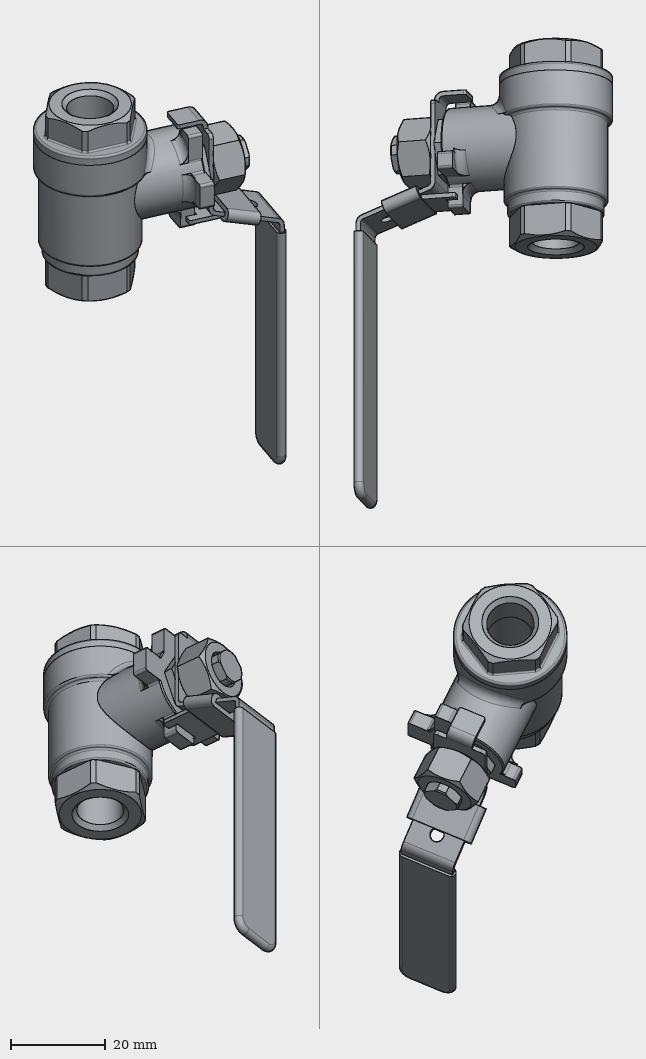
import cadquery as cq
import math


top_z = 20.6
cap_top_z = 14.7
joint_z = 12.7
cap_bottom_z = 4.7
barrel_bottom_z = -13.1
collar_bottom_z = -15.9
bottom_z = -22.9
cap_d = 24.0
barrel_d = 22.0
collar_d = 20.4
cap_edge_r = 0.5
barrel_edge_r = 0.4
hex_flats = 18.0
hex_corner_d = 20.1
hex_face_d = 17.4
hex_root_r = 0.4
bore_d = 10.0
bore_mouth_d = 12.0

neck_d = 18.0
neck_end_y = 22.9
neck_edge = 0.3
neck_blend_r = 2.0
lug_thickness = 3.3
lug_gusset_r = 2.0
lug_corner_r = 0.6
lug_side_r = 0.6
stop_lug_width = 3.9
stop_lug_reach = 11.7
stop_lug_offset = 5.2
wide_lug_width = 6.0
wide_lug_reach = 13.4
gland_flats = 12.2
stem_d = 8.0
stem_flats = 7.0
stem_end_y = 35.3
stem_edge = 0.3

lever_thickness = 1.0
lever_width = 12.0
bend_r = 1.5
plate_y = 25.4
grip_y = 41.7
slope_top_z = -9.2
slope_angle = 20
tab_top_z = 12.4
tab_end_y = 19.0
tab_width = 6.0
tab_corner_r = 0.5
shoulder_z = 10.0
shoulder_corner_r = 1.0
lock_hole_d = 3.0
lock_hole_y = 37.0
grip_top_z = -17.9
grip_bottom_z = -76.2
grip_thickness = 2.1
grip_width = 13.0
grip_corner_r = 3.0

slider_y = 32.25
slider_length = 8.0
slider_thickness = 3.0
slider_width = 15.0
fork_width = 10.0
fork_thickness = 1.0
fork_middle_z = -11.1
fork_corner_r = 0.5
fork_end_y = 20.8
fork_slot_end_y = 23.2

nut_flats = 13.0
nut_height = 7.4
nut_turn = 5
nut_face_d = 12.4

plate_front_y = plate_y - lever_thickness / 2
plate_back_y = plate_y + lever_thickness / 2
grip_front_y = grip_y - lever_thickness / 2
grip_back_y = grip_y + lever_thickness / 2
lug_under_y = neck_end_y - lug_thickness
slope_rise = lever_thickness / 2 / math.cos(math.radians(slope_angle))
grip_wall = (grip_width - lever_width) / 2
stem_length = stem_end_y - neck_end_y


def slope_z(y):
    """Height of the middle of the sloping sheet at a given Y."""
    return slope_top_z - (y - plate_y) * math.tan(math.radians(slope_angle))


def plane_at(y):
    """Plane across the stem axis facing +Y; its local X points along -X and its local Y along Z."""
    return cq.Workplane(cq.Plane(origin=(0, y, 0), xDir=(-1, 0, 0), normal=(0, 1, 0)))


def slope_plane(y):
    """Plane in the middle of the slope, facing up and away from the stem."""
    a = math.radians(slope_angle)
    return cq.Workplane(
        cq.Plane(origin=(0, y, slope_z(y)), xDir=(-1, 0, 0), normal=(0, math.sin(a), math.cos(a)))
    )


def box(x0, x1, y0, y1, z0, z1):
    return cq.Workplane("XY").box(x1 - x0, y1 - y0, z1 - z0, centered=False).translate((x0, y0, z0))


def hexagon(plane, flats, length):
    """Hexagonal bar with two corners on the local X axis of its plane."""
    return plane.polygon(6, flats / math.cos(math.pi / 6)).extrude(length)


def turned_point(face_d, outer_d, height):
    """Cylinder along Z with a 30 degree conical chamfer down from its flat top face."""
    drop = (outer_d - face_d) / 2 * math.tan(math.radians(30))
    return (
        cq.Workplane("XZ")
        .polyline([(0, 0), (outer_d / 2, 0), (outer_d / 2, height - drop), (face_d / 2, height), (0, height)])
        .close()
        .revolve(360, (0, 0, 0), (0, 1, 0))
    )



def hex_end(length):
    """Hexagon end standing on z = 0 with corners on the Y axis, turned and chamfered at its top."""
    bar = hexagon(cq.Workplane("XY"), hex_flats, length)
    bar = bar.rotate((0, 0, 0), (0, 0, 1), 90)
    return bar.intersect(turned_point(hex_face_d, hex_corner_d, length))


def turned_body():
    """Cap, barrel and collar as one turned shape, with rounded steps."""
    cap_r = cap_d / 2
    barrel_r = barrel_d / 2
    collar_r = collar_d / 2
    under_cap_r = cap_r - barrel_r - cap_edge_r
    collar_root_r = barrel_r - collar_r - barrel_edge_r
    return (
        cq.Workplane("XZ")
        .moveTo(0, collar_bottom_z)
        .lineTo(collar_r - barrel_edge_r, collar_bottom_z)
        .radiusArc((collar_r, collar_bottom_z + barrel_edge_r), -barrel_edge_r)
        .lineTo(collar_r, barrel_bottom_z - collar_root_r)
        .radiusArc((collar_r + collar_root_r, barrel_bottom_z), collar_root_r)
        .radiusArc((barrel_r, barrel_bottom_z + barrel_edge_r), -barrel_edge_r)
        .lineTo(barrel_r, cap_bottom_z - under_cap_r)
        .radiusArc((barrel_r + under_cap_r, cap_bottom_z), under_cap_r)
        .radiusArc((cap_r, cap_bottom_z + cap_edge_r), -cap_edge_r)
        .lineTo(cap_r, cap_top_z - cap_edge_r)
        .radiusArc((cap_r - cap_edge_r, cap_top_z), -cap_edge_r)
        .lineTo(0, cap_top_z)
        .close()
        .revolve(360, (0, 0, 0), (0, 1, 0))
    )


def upper_hex():
    """Upper hexagon end on a thin disc of the cap, with a fillet around its foot."""
    hexagon_bar = hex_end(top_z - cap_top_z)
    disc = cq.Workplane("XY").circle(cap_d / 2 - cap_edge_r).extrude(-cap_edge_r)
    reach = collar_d / 2
    foot = cq.selectors.BoxSelector((-reach, -reach, -hex_root_r), (reach, reach, hex_root_r))
    return disc.union(hexagon_bar).edges(foot).fillet(hex_root_r).translate((0, 0, cap_top_z))


def blended_neck():
    """Neck with its free edge chamfered, blended into the side of the cap."""
    neck = plane_at(0).circle(neck_d / 2).extrude(neck_end_y)
    neck = neck.faces(">Y").chamfer(neck_edge)
    cap_side_bottom_z = cap_bottom_z + cap_edge_r
    cap_side = cq.Workplane("XY").workplane(offset=cap_side_bottom_z)
    cap_side = cap_side.circle(cap_d / 2).extrude(cap_top_z - cap_edge_r - cap_side_bottom_z)
    junction = cq.selectors.NearestToPointSelector((0, cap_d / 2, neck_d / 2))
    return cap_side.union(neck).edges(junction).fillet(neck_blend_r)


def lug(width, reach, offset, turn):
    """Lug filleted into a ring of the neck, with a concave gusset on the barrel side.

    It is drawn reaching along +X and shifted along Z by offset, then turned about the stem axis,
    from +X towards +Z.
    """
    neck_r = neck_d / 2
    low_z = offset - width / 2
    high_z = offset + width / 2
    blank = box(0, reach, lug_under_y, neck_end_y, low_z, high_z).edges("|Y and >X").fillet(lug_corner_r)
    ring = plane_at(lug_under_y).circle(neck_r).extrude(lug_thickness - neck_edge)
    blank = ring.union(blank)
    for side_z in (low_z, high_z):
        root_x = math.sqrt(neck_r ** 2 - side_z ** 2)
        root = cq.selectors.NearestToPointSelector((root_x, neck_end_y - lug_thickness / 2, side_z))
        blank = blank.edges("|Y").edges(root).fillet(lug_side_r)
    gusset = (
        cq.Workplane("XY")
        .moveTo(0, lug_under_y - lug_gusset_r)
        .lineTo(neck_r, lug_under_y - lug_gusset_r)
        .radiusArc((neck_r + lug_gusset_r, lug_under_y), lug_gusset_r)
        .lineTo(0, lug_under_y)
        .close()
        .revolve(360, (0, 0, 0), (0, 1, 0))
    )
    fillet_foot = neck_r / (neck_r + lug_side_r)
    foot_low_z = (low_z - lug_side_r) * fillet_foot
    foot_high_z = (high_z + lug_side_r) * fillet_foot
    gusset_band = box(0, reach, lug_under_y - lug_gusset_r, lug_under_y, foot_low_z, foot_high_z)
    gusset = gusset.intersect(gusset_band)
    return blank.union(gusset).rotate((0, 0, 0), (0, 1, 0), -turn)


def square_stem():
    """Square stem with rounded corners, standing on the end of the neck."""
    square = plane_at(neck_end_y).rect(stem_flats, stem_flats).extrude(stem_length)
    square = square.rotate((0, 0, 0), (0, 1, 0), 45)
    turned = plane_at(neck_end_y).circle(stem_d / 2).extrude(stem_length).faces(">Y").chamfer(stem_edge)
    return square.intersect(turned)


def bore():
    """Through bore with a 45 degree countersink at both mouths."""
    half = bore_d / 2
    mouth = bore_mouth_d / 2
    depth = mouth - half
    return (
        cq.Workplane("XZ")
        .polyline([
            (0, bottom_z), (mouth, bottom_z), (half, bottom_z + depth),
            (half, top_z - depth), (mouth, top_z), (0, top_z),
        ])
        .close()
        .revolve(360, (0, 0, 0), (0, 1, 0))
    )


def valve_casing():
    """Valve body and end cap together."""
    lower_hex = hex_end(collar_bottom_z - bottom_z).rotate((0, 0, 0), (1, 0, 0), 180)
    gland = hexagon(plane_at(neck_end_y), gland_flats, plate_front_y - neck_end_y)
    casing = turned_body()
    casing = casing.union(blended_neck())
    casing = casing.union(upper_hex())
    casing = casing.union(lower_hex.translate((0, 0, collar_bottom_z)))
    casing = casing.union(lug(wide_lug_width, wide_lug_reach, 0, 0))
    casing = casing.union(lug(wide_lug_width, wide_lug_reach, 0, -90))
    casing = casing.union(lug(stop_lug_width, stop_lug_reach, -stop_lug_offset, 90))
    casing = casing.union(lug(stop_lug_width, stop_lug_reach, stop_lug_offset, 180))
    casing = casing.union(gland)
    casing = casing.union(square_stem())
    return casing.cut(bore())


def cap_zone():
    """Block that holds everything above the joint."""
    return box(-cap_d, cap_d, -cap_d, cap_d, joint_z, top_z)


def make_valve_body():
    return valve_casing().cut(cap_zone())


def make_end_cap():
    return valve_casing().intersect(cap_zone())



def make_nut():
    nut = hexagon(plane_at(plate_back_y), nut_flats, nut_height)
    nut = nut.cut(plane_at(plate_back_y).circle(stem_d / 2).extrude(nut_height))
    corner_d = nut_flats / math.cos(math.pi / 6)
    cone = turned_point(nut_face_d, corner_d, nut_height / 2)
    both_ends = cone.union(cone.mirror("XY"))
    both_ends = both_ends.rotate((0, 0, 0), (1, 0, 0), 90)
    nut = nut.rotate((0, 0, 0), (0, 1, 0), nut_turn)
    return nut.intersect(both_ends.translate((0, plate_back_y + nut_height / 2, 0)))



def bent_sheet():
    """Lever sheet at full width: tab, stem plate, slope and grip core, with rounded bends."""
    tab_under_z = tab_top_z - lever_thickness
    outer_r = bend_r + lever_thickness / 2
    inner_r = bend_r - lever_thickness / 2
    core_end = grip_bottom_z + grip_wall
    bends = [
        (plate_back_y, tab_top_z, outer_r),
        (plate_back_y, slope_z(plate_back_y) + slope_rise, inner_r),
        (grip_back_y, slope_z(grip_back_y) + slope_rise, outer_r),
        (grip_front_y, slope_z(grip_front_y) - slope_rise, inner_r),
        (plate_front_y, slope_z(plate_front_y) - slope_rise, outer_r),
        (plate_front_y, tab_under_z, inner_r),
    ]
    corners = [(y, z) for y, z, r in bends]
    outline = (
        [(tab_end_y, tab_top_z)]
        + corners[:3]
        + [(grip_back_y, core_end), (grip_front_y, core_end)]
        + corners[3:]
        + [(tab_end_y, tab_under_z)]
    )
    sheet = cq.Workplane("YZ").polyline(outline).close().extrude(lever_width / 2, both=True)
    for y, z, r in bends:
        sheet = sheet.edges(cq.selectors.NearestToPointSelector((0, y, z))).fillet(r)
    return sheet


def lever_silhouette():
    """Outline of the lever across its width: narrow tab, shoulders, and rounded lower corners."""
    half = lever_width / 2
    tab = tab_width / 2
    tip_r = grip_corner_r - grip_wall
    core_end = grip_bottom_z + grip_wall
    right = (
        plane_at(0)
        .moveTo(0, tab_top_z)
        .lineTo(tab, tab_top_z)
        .lineTo(tab, shoulder_z)
        .lineTo(half - shoulder_corner_r, shoulder_z)
        .radiusArc((half, shoulder_z - shoulder_corner_r), shoulder_corner_r)
        .lineTo(half, core_end + tip_r)
        .radiusArc((half - tip_r, core_end), tip_r)
        .lineTo(0, core_end)
        .close()
        .extrude(grip_y + lever_thickness)
    )
    return right.union(right.mirror("YZ"))


def grip():
    """Cover around the lower end of the lever: a flat plate inside a fully rounded rim."""
    rim_r = grip_thickness / 2
    half = grip_width / 2 - rim_r
    low_z = grip_bottom_z + rim_r
    bend = grip_corner_r - rim_r
    plate = box(-half, half, grip_y - rim_r, grip_y + rim_r, low_z, grip_top_z)
    plate = plate.edges("|Y and <Z").fillet(bend)
    rim_path = (
        cq.Workplane("XZ", origin=(0, grip_y, 0))
        .moveTo(-half, grip_top_z)
        .lineTo(-half, low_z + bend)
        .radiusArc((bend - half, low_z), -bend)
        .lineTo(half - bend, low_z)
        .radiusArc((half, low_z + bend), -bend)
        .lineTo(half, grip_top_z)
    )
    rim = cq.Workplane("XY", origin=(-half, grip_y, grip_top_z)).circle(rim_r).sweep(rim_path)
    return plate.union(rim)


def lock_slider():
    """Rounded sleeve around the slope, with a fork that straddles the lower lug."""
    a = math.radians(slope_angle)
    half_length = slider_length / 2
    down_slope = cq.Plane(
        origin=(0, slider_y, slope_z(slider_y)), xDir=(1, 0, 0), normal=(0, math.cos(a), -math.sin(a))
    )
    sleeve = cq.Workplane(down_slope).slot2D(slider_width, slider_thickness).extrude(half_length, both=True)
    root_y = slider_y - half_length * math.cos(a) + fork_thickness
    low_z = fork_middle_z - fork_thickness / 2
    high_z = fork_middle_z + fork_thickness / 2
    fork = box(-fork_width / 2, fork_width / 2, fork_end_y, root_y, low_z, high_z)
    fork = fork.edges("|Z and <Y").fillet(fork_corner_r)
    slot = box(-wide_lug_width / 2, wide_lug_width / 2, fork_end_y, fork_slot_end_y, low_z, high_z)
    return sleeve.union(fork.cut(slot))


def make_lever():
    sheet = bent_sheet().intersect(lever_silhouette())
    sheet = sheet.edges("|Z and <Y").fillet(tab_corner_r)
    lock_hole = slope_plane(lock_hole_y).circle(lock_hole_d / 2).extrude(lever_thickness, both=True)
    sheet = sheet.cut(square_stem()).cut(lock_hole)
    return sheet.union(grip()).union(lock_slider())


valve_body = make_valve_body()
end_cap = make_end_cap()
nut = make_nut()
lever = make_lever()
result = cq.Compound.makeCompound([valve_body.val(), end_cap.val(), nut.val(), lever.val()])